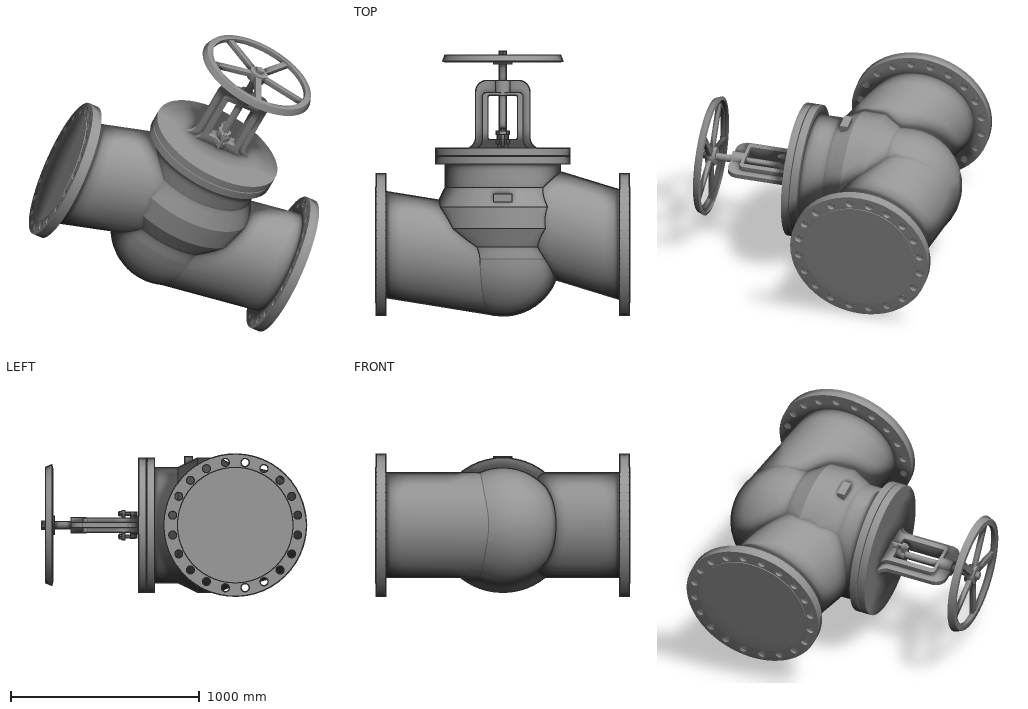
import cadquery as cq
import math


face_to_face = 1350.0
end_flange_radius = 378.0
end_flange_thickness = 52.0
raised_face_radius = 306.0
raised_face_height = 4.0
flange_inner_x = face_to_face / 2 - raised_face_height - end_flange_thickness
bolt_circle_radius = 335.0
bolt_hole_diameter = 42.0
bolt_hole_count = 20
pipe_radius = 278.0
left_pipe_angle = 9.2
right_pipe_angle = -17

bowl_radius = 303.0
bowl_center_y = -76.0
bowl_top_y = -13.0
chest_radius = 357.0
chest_bottom_y = 84.0
chest_top_y = 200.0
neck_radius = 306.0
neck_bottom_y = 302.0
neck_top_y = 427.0

bonnet_radius = 357.0
bonnet_top_y = 511.0
gasket_radius = 337.0
gasket_thickness = 5.0

pad_length = 95.0
pad_width = 42.0
pad_center_y = 247.0
pad_top_z = 362.0

arch_half_width = 145.0
arch_top_y = 870.0
arch_thickness = 25.0
arch_corner_radius = 62.0
arch_foot_height = 58.0
arch_foot_spread = 36.0
frame_half_width = 108.0
frame_top_y = 806.0
frame_thickness = 77.0
frame_corner_radius = 22.0
frame_foot_height = 45.0
frame_foot_spread = 28.0
window_half_width = 77.0
window_bottom_y = 557.0
window_top_y = 790.0
window_corner_radius = 8.0
yoke_boss_radius = 41.0

stem_radius = 20.0
stem_nut_flats = 40.0
stem_top_y = 1025.0

box_neck_radius = 30.0
box_base_radius = 48.0
lug_collar_radius = 52.0
gland_collar_radius = 35.0
ear_half_width = 20.0
lug_bottom_y = 532.0
lug_top_y = 556.0
lug_reach = 73.0
gland_bottom_y = 583.0
gland_top_y = 601.0
gland_reach = 79.0
stud_offset = 60.0
stud_radius = 8.0
stud_slot_width = 20.0
stud_bottom_y = 521.0
stud_top_y = 618.0
stud_nut_diameter = 30.0
stud_nut_height = 11.0

rim_top_y = 1005.0
rim_edge_y = 971.0
rim_bottom_y = 966.0
rim_top_radius = 306.0
rim_edge_radius = 320.0
rim_lip_radius = 300.0
rim_rib_radius = 285.0
rim_rib_bottom_y = 983.0
rim_inner_radius = 274.0
rim_web_thickness = 13.0
hub_radius = 49.0
hub_bottom_y = 956.0
spoke_count = 5
spoke_width = 34.0
spoke_depth = 24.0
spoke_bottom_y = 973.0


def level(y):
    """Workplane across the stem at height y: local x is X, local y is -Z, normal is +Y."""
    return cq.Workplane(cq.Plane(origin=(0, y, 0), xDir=(1, 0, 0), normal=(0, 1, 0)))


def stem_cylinder(radius, bottom_y, top_y):
    return level(bottom_y).circle(radius).extrude(top_y - bottom_y)


def end_flange(side):
    """Drilled end flange with raised face; side is -1 at -X and +1 at +X."""
    hole_step = 360 / bolt_hole_count
    flange = (
        cq.Workplane("YZ", origin=(flange_inner_x, 0, 0))
        .circle(end_flange_radius)
        .extrude(end_flange_thickness)
        .faces(">X")
        .workplane()
        .circle(raised_face_radius)
        .extrude(raised_face_height)
    )
    holes = (
        cq.Workplane("YZ", origin=(flange_inner_x, 0, 0))
        .polarArray(bolt_circle_radius, hole_step / 2, 360, bolt_hole_count)
        .circle(bolt_hole_diameter / 2)
        .extrude(end_flange_thickness)
    )
    flange = flange.cut(holes)
    if side < 0:
        flange = flange.mirror("YZ")
    return flange


def pipe(side, angle):
    """Sloping pipe from an end flange to the stem axis; a negative angle climbs towards +Y at the body."""
    slope = math.radians(angle)
    direction = cq.Vector(-side * math.cos(slope), -math.sin(slope), 0)
    overlap = pipe_radius * abs(math.tan(slope))
    start = cq.Vector(side * flange_inner_x, 0, 0) - direction * overlap
    length = flange_inner_x / math.cos(slope) + overlap
    overlong_pipe = cq.Workplane(obj=cq.Solid.makeCylinder(pipe_radius, length, start, direction))
    trim_size = 4 * end_flange_radius
    return overlong_pipe.intersect(cq.Workplane("XY").box(2 * flange_inner_x, trim_size, trim_size))


def body():
    """Bowl, chest and neck turned about the stem axis."""
    arc_middle = bowl_radius * math.sqrt(0.5)
    return (
        cq.Workplane("XY")
        .moveTo(0, bowl_center_y - bowl_radius)
        .threePointArc((arc_middle, bowl_center_y - arc_middle), (bowl_radius, bowl_center_y))
        .lineTo(bowl_radius, bowl_top_y)
        .lineTo(chest_radius, chest_bottom_y)
        .lineTo(chest_radius, chest_top_y)
        .lineTo(neck_radius, neck_bottom_y)
        .lineTo(neck_radius, neck_top_y)
        .lineTo(0, neck_top_y)
        .close()
        .revolve(360, (0, 0, 0), (0, 1, 0))
    )


def pad():
    return (
        cq.Workplane("XY", origin=(0, pad_center_y, 0))
        .rect(pad_length, pad_width)
        .extrude(pad_top_z)
    )


def bonnet_joint():
    """Two equal flanges with a recessed gasket between them."""
    flange_thickness = (bonnet_top_y - neck_top_y - gasket_thickness) / 2
    gasket_bottom_y = neck_top_y + flange_thickness
    gasket_top_y = gasket_bottom_y + gasket_thickness
    lower = stem_cylinder(bonnet_radius, neck_top_y, gasket_bottom_y)
    gasket = stem_cylinder(gasket_radius, gasket_bottom_y, gasket_top_y)
    upper = stem_cylinder(bonnet_radius, gasket_top_y, bonnet_top_y)
    return lower.union(gasket).union(upper)


def arch_plate(half_width, top_y, thickness, corner_radius, foot_height, foot_spread):
    """Upright plate with rounded shoulders and feet that flare out along arcs tangent to its sides."""
    foot_half_width = half_width + foot_spread
    foot_top_y = bonnet_top_y + foot_height
    foot_radius = (foot_height**2 + foot_spread**2) / (2 * foot_spread)
    return (
        cq.Workplane("XY", origin=(0, 0, -thickness / 2))
        .moveTo(-half_width, top_y)
        .lineTo(half_width, top_y)
        .lineTo(half_width, foot_top_y)
        .radiusArc((foot_half_width, bonnet_top_y), -foot_radius)
        .lineTo(-foot_half_width, bonnet_top_y)
        .radiusArc((-half_width, foot_top_y), -foot_radius)
        .close()
        .extrude(thickness)
        .edges("|Z and >Y")
        .fillet(corner_radius)
    )


def yoke():
    arch = arch_plate(
        half_width=arch_half_width,
        top_y=arch_top_y,
        thickness=arch_thickness,
        corner_radius=arch_corner_radius,
        foot_height=arch_foot_height,
        foot_spread=arch_foot_spread,
    )
    frame = arch_plate(
        half_width=frame_half_width,
        top_y=frame_top_y,
        thickness=frame_thickness,
        corner_radius=frame_corner_radius,
        foot_height=frame_foot_height,
        foot_spread=frame_foot_spread,
    )
    window_height = window_top_y - window_bottom_y
    window = (
        cq.Workplane("XY", origin=(0, window_bottom_y + window_height / 2, 0))
        .box(2 * window_half_width, window_height, frame_thickness)
        .edges("|Z")
        .fillet(window_corner_radius)
    )
    boss = stem_cylinder(yoke_boss_radius, window_top_y, arch_top_y)
    return arch.union(frame).cut(window).union(boss)


def stem():
    """Stem from the bonnet to the handwheel, with a hexagonal nut whose corners point along Z."""
    rod = stem_cylinder(stem_radius, bonnet_top_y, rim_top_y)
    nut_corners = stem_nut_flats / math.cos(math.radians(30))
    nut = (
        level(rim_top_y)
        .transformed(rotate=(0, 0, 90))
        .polygon(6, nut_corners)
        .extrude(stem_top_y - rim_top_y)
    )
    return rod.union(nut)


def eared_collar(radius, reach, bottom_y, top_y):
    """Round collar with two rounded ears reaching out along Z."""
    ears = level(bottom_y).slot2D(2 * reach, 2 * ear_half_width, 90).extrude(top_y - bottom_y)
    return stem_cylinder(radius, bottom_y, top_y).union(ears)


def gland():
    """Stuffing box, slotted lower lugs, gland plate and its two studs with nuts."""
    stud_points = [(0, -stud_offset), (0, stud_offset)]
    box_base = stem_cylinder(box_base_radius, bonnet_top_y, lug_top_y)
    neck = stem_cylinder(box_neck_radius, lug_top_y, gland_bottom_y)
    slot_length = 2 * (lug_reach - box_base_radius)
    slots = (
        level(lug_bottom_y)
        .pushPoints([(0, -lug_reach), (0, lug_reach)])
        .rect(stud_slot_width, slot_length)
        .extrude(lug_top_y - lug_bottom_y)
    )
    lugs = eared_collar(lug_collar_radius, lug_reach, lug_bottom_y, lug_top_y).cut(slots)
    plate = eared_collar(gland_collar_radius, gland_reach, gland_bottom_y, gland_top_y)
    studs = level(stud_bottom_y).pushPoints(stud_points).circle(stud_radius).extrude(
        stud_top_y - stud_bottom_y
    )
    nuts = level(gland_top_y).pushPoints(stud_points).polygon(6, stud_nut_diameter).extrude(stud_nut_height)
    return box_base.union(neck).union(lugs).union(plate).union(studs).union(nuts)


def handwheel():
    """Rim of channel section open towards the valve, spokes and hub; one spoke points along -Z."""
    channel_floor_y = rim_top_y - rim_web_thickness
    rim = (
        cq.Workplane("XY")
        .moveTo(rim_inner_radius, rim_top_y)
        .lineTo(rim_top_radius, rim_top_y)
        .lineTo(rim_edge_radius, rim_edge_y)
        .lineTo(rim_lip_radius, rim_bottom_y)
        .lineTo(rim_lip_radius, channel_floor_y)
        .lineTo(rim_rib_radius, channel_floor_y)
        .lineTo(rim_rib_radius, rim_rib_bottom_y)
        .lineTo(rim_inner_radius, rim_rib_bottom_y)
        .close()
        .revolve(360, (0, 0, 0), (0, 1, 0))
    )
    wheel = rim.union(stem_cylinder(hub_radius, hub_bottom_y, rim_top_y))
    spoke_length = (rim_inner_radius + rim_rib_radius) / 2
    spoke = (
        level(spoke_bottom_y)
        .center(0, spoke_length / 2)
        .rect(spoke_width, spoke_length)
        .extrude(spoke_depth)
    )
    for index in range(spoke_count):
        wheel = wheel.union(spoke.rotate((0, 0, 0), (0, 1, 0), index * 360 / spoke_count))
    return wheel


result = (
    body()
    .union(pipe(-1, left_pipe_angle))
    .union(pipe(1, right_pipe_angle))
    .union(end_flange(-1))
    .union(end_flange(1))
    .union(pad())
    .union(bonnet_joint())
    .union(yoke())
    .union(stem())
    .union(gland())
    .union(handwheel())
)